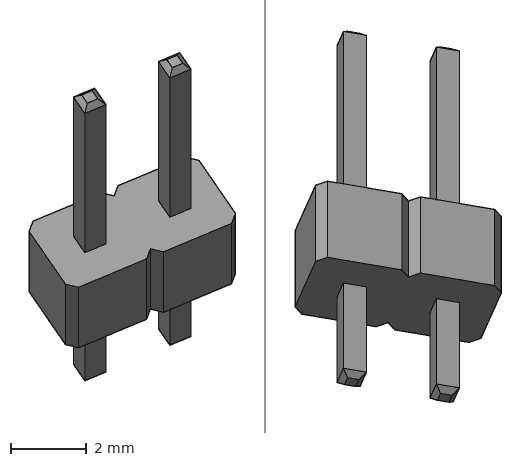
import cadquery as cq

pitch = 2.54
pin_count = 2
body_width = pitch
body_height = pitch
corner_chamfer = 0.25
pin_side = 0.63
pin_length = 11.54
pin_below_body = 3.0
tip_chamfer = 0.16

pin_positions = [(0, (i - (pin_count - 1) / 2) * pitch) for i in range(pin_count)]


def make_cell(x, y):
    """One insulator cell, with its bottom face at Z = 0."""
    cell = cq.Workplane("XY").box(body_width, pitch, body_height, centered=(True, True, False))
    return cell.edges("|Z").chamfer(corner_chamfer).translate((x, y, 0))


def make_pin(x, y):
    """One square pin, chamfered at both tips."""
    pin = cq.Workplane("XY").box(pin_side, pin_side, pin_length, centered=(True, True, False))
    return pin.faces("<Z or >Z").chamfer(tip_chamfer).translate((x, y, -pin_below_body))


result = cq.Workplane("XY")
for x, y in pin_positions:
    result = result.union(make_cell(x, y)).union(make_pin(x, y))
result = result.clean()